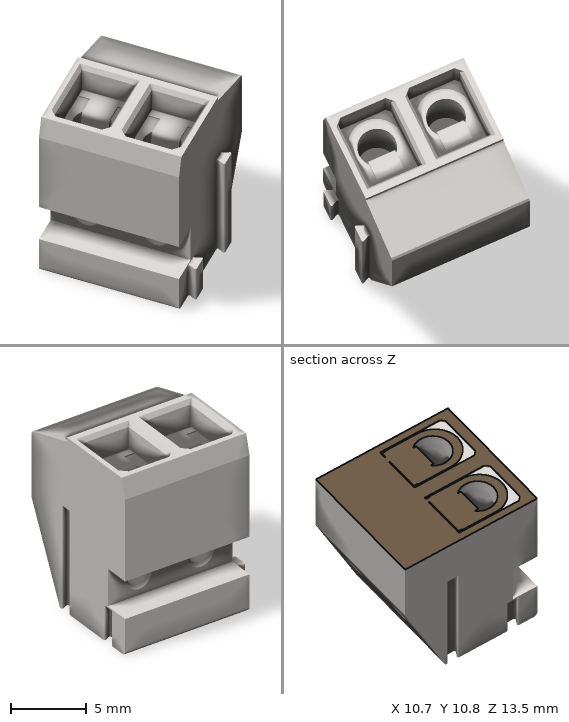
import cadquery as cq
import math


body_width = 10.0
body_depth = 10.8
body_height = 13.5
base_depth = 7.5
back_slope_top = 6.93
shoulder_y = 6.68
shoulder_z = 13.18
back_edge_z = 11.96
front_slope_base = 12.0
front_slope_run = 0.4
notch_depth = 2.0
notch_bottom = 2.84
notch_top = 5.72
base_edge_radius = 0.3
back_edge_chamfer = 0.14

pitch = 5.0
pole_xs = [body_width / 2 - pitch / 2, body_width / 2 + pitch / 2]

wire_hole_z = 4.29
wire_hole_diameter = 1.59
wire_funnel_diameter = 2.0
wire_funnel_depth = 0.2

pocket_front = 0.82
pocket_back = 6.15
pocket_width = 4.27
pocket_corner = 0.49
rim_side_inset = 0.22
rim_back_inset = 0.2
rim_depth = 0.35
well_width = pocket_width - 2 * rim_side_inset
well_back = pocket_back - rim_back_inset

block_top = body_height - 2.0
block_radius = 1.86
block_center_y = 2.9
hole_radius = 1.31
hole_center_y = 3.06

strip_thickness = 0.1
strip_top = block_top + strip_thickness
bend_radius = 0.34
arm_width = 3.62
arm_front = 5.15
tongue_width = 1.97
tongue_bend_y = 4.0
tongue_foot_y = 2.74
tongue_angle = math.radians(75)
pocket_floor = strip_top - bend_radius

bend_end_y = tongue_bend_y - bend_radius * math.sin(tongue_angle)
bend_end_z = strip_top - bend_radius * (1 - math.cos(tongue_angle))
hole_bottom = bend_end_z - (bend_end_y - tongue_foot_y) * math.tan(tongue_angle)

dovetails = [(6.88, 7.99), (2.0, 2.73)]
dovetail_depth = 0.65
dovetail_root_half = 0.34
dovetail_tip_half = 0.68
dovetail_radius = 0.1


def centered_box(x, width, y_min, y_max, z_min, z_max):
    box = cq.Workplane("XY").box(width, y_max - y_min, z_max - z_min, centered=(True, False, False))
    return box.translate((x, y_min, z_min))


def housing():
    profile = [
        (0, 0),
        (0, notch_bottom),
        (notch_depth, notch_bottom),
        (notch_depth, notch_top),
        (0, notch_top),
        (0, front_slope_base),
        (front_slope_run, body_height),
        (shoulder_y, body_height),
        (shoulder_y, shoulder_z),
        (body_depth, back_edge_z),
        (body_depth, back_slope_top),
        (base_depth, 0),
    ]
    body = cq.Workplane("YZ").polyline(profile).close().extrude(body_width)
    base_edge = cq.selectors.NearestToPointSelector((body_width / 2, 0, 0))
    body = body.edges(base_edge).fillet(base_edge_radius)
    back_edge = cq.selectors.NearestToPointSelector((body_width / 2, body_depth, back_edge_z))
    return body.edges(back_edge).chamfer(back_edge_chamfer)


def wire_entry(x):
    bore = cq.Workplane("XZ", origin=(x, 0, wire_hole_z)).circle(wire_hole_diameter / 2).extrude(-body_depth)
    funnel = cq.Solid.makeCone(
        wire_funnel_diameter / 2,
        wire_hole_diameter / 2,
        wire_funnel_depth,
        pnt=cq.Vector(x, notch_depth, wire_hole_z),
        dir=cq.Vector(0, 1, 0),
    )
    return bore.union(cq.Workplane(funnel))


def pocket(x):
    outline = centered_box(x, pocket_width, pocket_front, pocket_back, pocket_floor, body_height)
    outline = outline.edges("|Z and <Y").chamfer(pocket_corner)
    well = centered_box(x, well_width, pocket_front, well_back, pocket_floor, body_height)
    well_center_y = (pocket_front + well_back) / 2
    top_center_y = (pocket_front + pocket_back) / 2
    rim = (
        cq.Workplane("XY", origin=(x, well_center_y, body_height - rim_depth))
        .rect(well_width, well_back - pocket_front)
        .workplane(offset=rim_depth)
        .center(0, top_center_y - well_center_y)
        .rect(pocket_width, pocket_back - pocket_front)
        .loft(ruled=True)
    )
    return well.union(rim).intersect(outline)


def clamp_block(x):
    block_back = well_back - bend_radius
    return (
        cq.Workplane("XY", origin=(x, 0, pocket_floor))
        .moveTo(-block_radius, block_back)
        .lineTo(-block_radius, block_center_y)
        .threePointArc((0, block_center_y - block_radius), (block_radius, block_center_y))
        .lineTo(block_radius, block_back)
        .close()
        .extrude(block_top - pocket_floor)
    )


def clamp_hole(x):
    hole = cq.Workplane("XY", origin=(x, hole_center_y, hole_bottom)).circle(hole_radius)
    return hole.extrude(block_top - hole_bottom)


def contact_strip(x):
    round_start_y = well_back - bend_radius
    round_mid = (
        round_start_y + bend_radius * math.sin(math.pi / 4),
        pocket_floor + bend_radius * math.cos(math.pi / 4),
    )
    arms = (
        cq.Workplane("YZ", origin=(x - arm_width / 2, 0, 0))
        .moveTo(arm_front, pocket_floor)
        .lineTo(arm_front, strip_top)
        .lineTo(round_start_y, strip_top)
        .threePointArc(round_mid, (well_back, pocket_floor))
        .close()
        .extrude(arm_width)
    )
    mid_angle = tongue_angle / 2
    bend_mid = (
        tongue_bend_y - bend_radius * math.sin(mid_angle),
        strip_top - bend_radius * (1 - math.cos(mid_angle)),
    )
    tongue = (
        cq.Workplane("YZ", origin=(x - tongue_width / 2, 0, 0))
        .moveTo(arm_front, strip_top)
        .lineTo(tongue_bend_y, strip_top)
        .threePointArc(bend_mid, (bend_end_y, bend_end_z))
        .lineTo(tongue_foot_y, hole_bottom)
        .lineTo(arm_front, hole_bottom)
        .close()
        .extrude(tongue_width)
    )
    return arms.union(tongue)


def dovetail(face_x, y, height):
    """Dovetail growing towards +X from face_x, rounded at the tip and flared into the face."""
    sheet = 0.27
    sheet_half = 2 * dovetail_tip_half
    inner_half = 1.5 * dovetail_tip_half
    profile = [
        (-sheet, -sheet_half),
        (0, -sheet_half),
        (0, -dovetail_root_half),
        (dovetail_depth, -dovetail_tip_half),
        (dovetail_depth, dovetail_tip_half),
        (0, dovetail_root_half),
        (0, sheet_half),
        (-sheet, sheet_half),
    ]
    bar = cq.Workplane("XY").polyline(profile).close().extrude(height)
    rounded = cq.selectors.BoxSelector(
        (-sheet / 2, -inner_half, 0),
        (2 * dovetail_depth, inner_half, height),
    )
    bar = bar.edges("|Z").edges(rounded).fillet(dovetail_radius)
    keep = cq.Workplane("XY").box(dovetail_depth, 2 * sheet_half, height, centered=(False, True, False))
    return bar.intersect(keep).translate((face_x, y, 0))


result = housing()
for pole_x in pole_xs:
    result = result.cut(wire_entry(pole_x))
    result = result.cut(pocket(pole_x))
    result = result.union(clamp_block(pole_x))
    result = result.cut(clamp_hole(pole_x))
    result = result.union(contact_strip(pole_x))

for dovetail_y, dovetail_height in dovetails:
    result = result.cut(dovetail(0, dovetail_y, dovetail_height))
    result = result.union(dovetail(body_width, dovetail_y, dovetail_height))